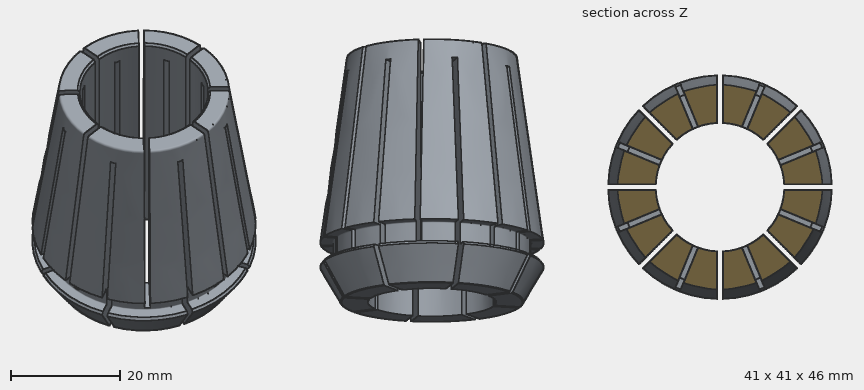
import cadquery as cq
import math

height = 46.0
lip_edge_z = 6.6
lip_top_z = 7.1
cone_base_z = 11.15

outer_radius = 20.495
neck_radius = 18.12
bore_radius = 11.755
cone_angle = 8.0
lip_angle = 30.0

lip_chamfer_width = 0.4
neck_fillet = 0.2
base_chamfer = 0.15
top_outer_fillet = 0.45
bore_chamfer = 0.4

slits_per_ring = 8
slit_width = 1.0
slit_pitch = 360.0 / slits_per_ring
bottom_slit_end_z = 42.5
top_slit_end_z = 7.6


def make_body():
    """Revolve the tapered collet with its clamping groove and lip."""
    top_radius = outer_radius - (height - cone_base_z) * math.tan(math.radians(cone_angle))
    base_radius = outer_radius - lip_edge_z * math.tan(math.radians(lip_angle))
    half_section = (
        cq.Workplane("XZ")
        .moveTo(bore_radius, 0)
        .lineTo(base_radius, 0)
        .lineTo(outer_radius, lip_edge_z)
        .lineTo(outer_radius - lip_chamfer_width, lip_top_z)
        .lineTo(neck_radius + neck_fillet, lip_top_z)
        .tangentArcPoint((neck_radius, lip_top_z + neck_fillet), relative=False)
        .lineTo(neck_radius, cone_base_z - neck_fillet)
        .tangentArcPoint((neck_radius + neck_fillet, cone_base_z), relative=False)
        .lineTo(outer_radius, cone_base_z)
        .lineTo(top_radius, height)
        .lineTo(bore_radius, height)
        .close()
    )
    body = half_section.revolve(360, (0, 0, 0), (0, 1, 0))
    body = body.faces(">Z").edges(cq.selectors.RadiusNthSelector(-1)).fillet(top_outer_fillet)
    body = body.faces("<Z").edges(cq.selectors.RadiusNthSelector(-1)).chamfer(base_chamfer)
    return body.faces(">Z").edges(cq.selectors.RadiusNthSelector(0)).chamfer(bore_chamfer)


def cut_slits(body, bottom_z, top_z, first_angle):
    """Cut one ring of radial slits from the axis out through the wall."""
    slit = cq.Workplane("XY").box(outer_radius, slit_width, top_z - bottom_z, centered=(False, True, False))
    slit = slit.translate((0, 0, bottom_z))
    for index in range(slits_per_ring):
        body = body.cut(slit.rotate((0, 0, 0), (0, 0, 1), first_angle + index * slit_pitch))
    return body


result = make_body()
result = cut_slits(result, 0, bottom_slit_end_z, 0)
result = cut_slits(result, top_slit_end_z, height, slit_pitch / 2)